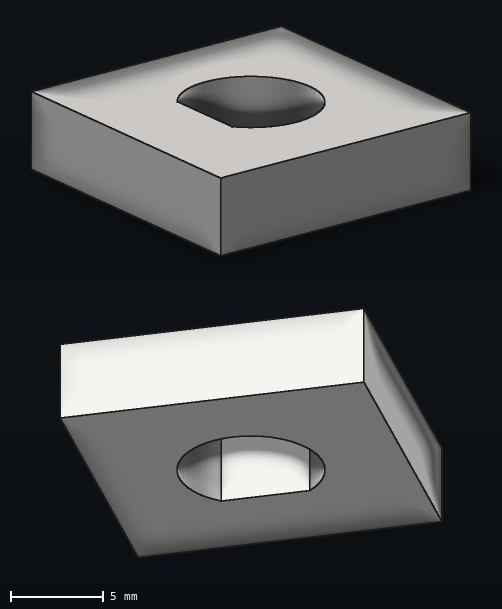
import cadquery as cq

plate_side = 17.0
plate_thickness = 4.5

hole_diameter = 8.0
flat_distance = 3.15

plate = cq.Workplane("XY").box(plate_side, plate_side, plate_thickness)


def d_shaped_cutter():
    """Round bar trimmed by a flat on its -Y side."""
    bar = cq.Workplane("XY").circle(hole_diameter / 2).extrude(plate_thickness / 2, both=True)
    kept_depth = hole_diameter / 2 + flat_distance
    kept_center_y = hole_diameter / 2 - kept_depth / 2
    kept_region = (
        cq.Workplane("XY")
        .box(hole_diameter, kept_depth, plate_thickness)
        .translate((0, kept_center_y, 0))
    )
    return bar.intersect(kept_region)


result = plate.cut(d_shaped_cutter())